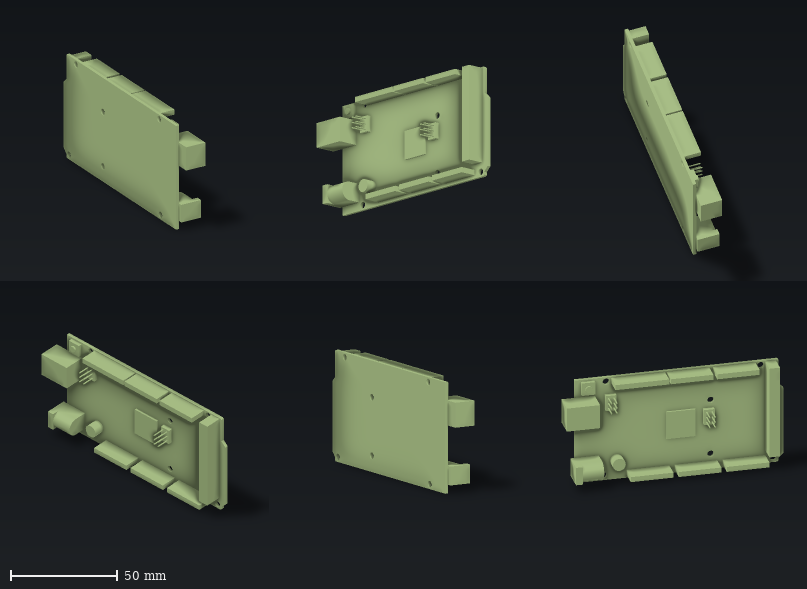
import cadquery as cq


board_length = 101.5
board_width = 53.5
board_thickness = 1.6
edge_step = 2.5
corner_chamfer = 0.5
tab_bottom = 4.4
tab_top = 38.0

hole_diameter = 3.2
hole_centres = [
    (5.0, 2.4), (87.5, 2.4),
    (11.1, 51.2), (86.3, 51.2),
    (35.4, 7.8), (35.4, 35.9),
]

pitch = 2.6
socket_top = 10.0
edge_margin = 0.5
socket_zmax = board_width - edge_margin
double_row_x = 3.8
double_row_zmin = 6.7
upper_socket_spans = [(13.7, 34.3), (36.2, 56.8), (57.7, 83.8)]
lower_socket_z = 1.5
lower_socket_count = 3
lower_socket_pitches = 8

pin_columns = 2
pin_rows = 3
pin_diameter = 0.6
pin_base_top = 3.9
pin_header_corners = [(34.0, 24.2), (81.8, 36.9)]

usb_x = 91.8
usb_end = 108.0
usb_top = 12.3
usb_zmin = 32.5
usb_zmax = 44.5

jack_x = 89.9
jack_end = 103.6
jack_top = 12.5
jack_zmin = 4.1
jack_width = 9.1
jack_flange_length = 3.2

button_x = 92.0
button_size = 6.5
button_zmin = 46.0
button_body_top = 3.6
button_cap_diameter = 3.1
button_cap_top = 4.5

capacitor_diameter = 6.3
capacitor_centre = (81.2, 9.7)
capacitor_top = 7.1
chip_size = 14.0
chip_corner = (43.0, 18.4)
chip_top = 2.7


def block(x_range, y_range, z_range):
    """Box between the given limits on each axis."""
    sizes = [high - low for low, high in (x_range, y_range, z_range)]
    corner = (x_range[0], y_range[0], z_range[0])
    return cq.Workplane("XY").box(*sizes, centered=False).translate(corner)


def mounted_block(x_range, z_range, top):
    """Box standing on the component face of the board."""
    return block(x_range, (board_thickness, top), z_range)


def cylinder_along_y(centre, diameter, y_start, y_end):
    """Cylinder pointing away from the board, centred at (X, Z)."""
    start = cq.Vector(centre[0], y_start, centre[1])
    solid = cq.Solid.makeCylinder(diameter / 2, y_end - y_start, start, cq.Vector(0, 1, 0))
    return cq.Workplane("XY").add(solid)


def make_board():
    """Plate with a raised tab on its left edge, chamfered corners and mounting holes."""
    outline = [
        (edge_step + corner_chamfer, 0),
        (board_length, 0),
        (board_length, board_width),
        (edge_step + corner_chamfer, board_width),
        (edge_step, board_width - corner_chamfer),
        (edge_step, tab_top + edge_step),
        (0, tab_top),
        (0, tab_bottom),
        (edge_step, tab_bottom - edge_step),
        (edge_step, corner_chamfer),
    ]
    board = cq.Workplane("XZ").polyline(outline).close().extrude(-board_thickness)
    for centre in hole_centres:
        board = board.cut(cylinder_along_y(centre, hole_diameter, 0, board_thickness))
    return board


def make_sockets():
    """Double row socket on the left, single rows along the top and bottom edges."""
    double_row_end = double_row_x + 2 * pitch
    sockets = [mounted_block((double_row_x, double_row_end), (double_row_zmin, socket_zmax), socket_top)]
    for x_range in upper_socket_spans:
        sockets.append(mounted_block(x_range, (socket_zmax - pitch, socket_zmax), socket_top))
    lower_length = lower_socket_pitches * pitch
    for index in range(lower_socket_count):
        left = double_row_end + index * (lower_length + pitch)
        z_range = (lower_socket_z, lower_socket_z + pitch)
        sockets.append(mounted_block((left, left + lower_length), z_range, socket_top))
    return sockets


def make_pin_header(corner):
    """Low base carrying a grid of round pins."""
    x, z = corner
    header = mounted_block((x, x + pin_columns * pitch), (z, z + pin_rows * pitch), pin_base_top)
    for column in range(pin_columns):
        for row in range(pin_rows):
            centre = (x + (column + 0.5) * pitch, z + (row + 0.5) * pitch)
            header = header.union(cylinder_along_y(centre, pin_diameter, pin_base_top, socket_top))
    return header


def make_power_jack():
    """Round-topped body behind a rectangular flange."""
    radius = jack_width / 2
    axis_y = jack_top - radius
    jack_zmax = jack_zmin + jack_width
    body = (
        cq.Workplane("YZ", origin=(jack_x, 0, 0))
        .moveTo(board_thickness, jack_zmin)
        .lineTo(axis_y, jack_zmin)
        .threePointArc((jack_top, jack_zmin + radius), (axis_y, jack_zmax))
        .lineTo(board_thickness, jack_zmax)
        .close()
        .extrude(jack_end - jack_x)
    )
    flange = mounted_block((jack_end - jack_flange_length, jack_end), (jack_zmin, jack_zmax), jack_top)
    return body.union(flange)


def make_reset_button():
    """Square switch body with a round cap."""
    x_range = (button_x, button_x + button_size)
    z_range = (button_zmin, button_zmin + button_size)
    centre = (button_x + button_size / 2, button_zmin + button_size / 2)
    cap = cylinder_along_y(centre, button_cap_diameter, button_body_top, button_cap_top)
    return mounted_block(x_range, z_range, button_body_top).union(cap)


def make_chip():
    """Flat square processor."""
    x, z = chip_corner
    return mounted_block((x, x + chip_size), (z, z + chip_size), chip_top)


components = make_sockets()
components += [make_pin_header(corner) for corner in pin_header_corners]
components += [
    mounted_block((usb_x, usb_end), (usb_zmin, usb_zmax), usb_top),
    make_power_jack(),
    make_reset_button(),
    cylinder_along_y(capacitor_centre, capacitor_diameter, board_thickness, capacitor_top),
    make_chip(),
]

result = make_board()
for component in components:
    result = result.union(component)